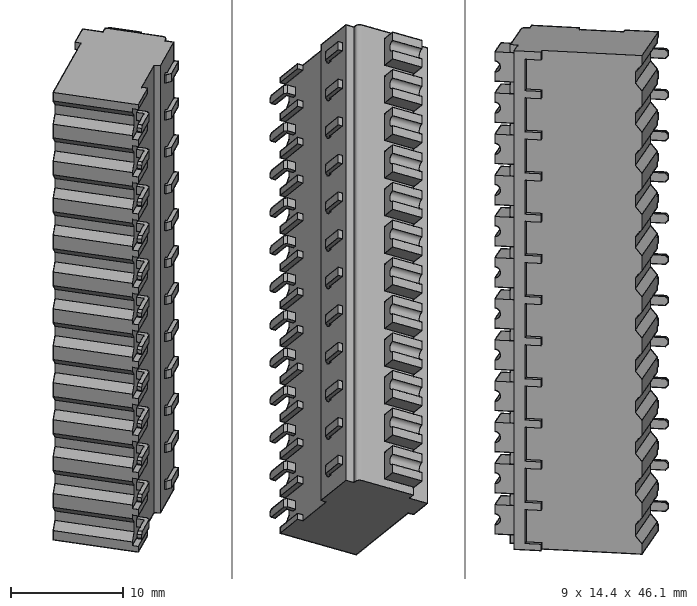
import cadquery as cq


length = 46.1
body_left = 0.55
body_right = 8.45
body_bottom = 0.85
shoulder_y = 12.3
crown_left = 1.9
crown_right = 7.6
crown_top = 13.0
crown_fillet = 0.4

pole_count = 12
first_pole_z = 2.15
last_pole_to_end = 2.07
pitch = (length - first_pole_z - last_pole_to_end) / (pole_count - 1)
pole_heights = [first_pole_z + i * pitch for i in range(pole_count)]

flange_bottom = 11.3
prong_bottom = 9.85
prong_gap = 3.15
end_prong_height = 0.75

recess_floor_x = 7.9
recess_bottom = 3.87
recess_top = 8.0
recess_slope = 0.1
slot_width = 3.15

groove_mouth = 2.4
groove_floor = 0.95
groove_depth = 0.6

block_left = 1.8
block_right = 4.85
block_top = 14.4
block_height = 2.7
block_notch_radius = 0.5

lead_inner_x = 8.58
lead_outer_x = 9.0
lead_thickness = lead_outer_x - lead_inner_x
lead_width = 0.85
lead_embedding = 0.15
lead_root_x = recess_floor_x - lead_embedding
lower_bend_y = 2.65
lower_bend_chamfer = 0.25
upper_bend_y = 9.25
upper_tip_y = 11.9
tip_chamfer = 0.25


def box(x0, x1, y0, y1, z0, z1):
    return cq.Workplane("XY").box(x1 - x0, y1 - y0, z1 - z0, centered=False).translate((x0, y0, z0))


def centred_slab(outline, z_centre, height):
    """Extrude an XY outline to a slab centred on one height."""
    return (
        cq.Workplane("XY", origin=(0, 0, z_centre - height / 2))
        .polyline(outline).close().extrude(height)
    )


def housing():
    core = box(body_left, body_right, body_bottom, shoulder_y, 0, length)
    crown = (
        box(crown_left, crown_right, flange_bottom, crown_top, 0, length)
        .edges(">X and >Y").fillet(crown_fillet)
    )
    flange = box(0, crown_left, prong_bottom, shoulder_y, 0, length)
    return core.union(crown).union(flange)


def lead_recess():
    """Recess along the full length, with a slightly sloped upper wall."""
    outline = [
        (recess_floor_x, recess_bottom),
        (body_right, recess_bottom),
        (body_right, recess_top),
        (recess_floor_x, recess_top - recess_slope),
    ]
    return centred_slab(outline, length / 2, length)


def pole_cuts(z):
    """Groove, lead slot and flange window of one pole."""
    groove = (
        cq.Workplane("YZ")
        .polyline([
            (body_bottom, z - groove_mouth / 2),
            (body_bottom + groove_depth, z - groove_floor / 2),
            (body_bottom + groove_depth, z + groove_floor / 2),
            (body_bottom, z + groove_mouth / 2),
        ])
        .close().extrude(body_right)
    )
    slot = box(recess_floor_x, body_right, body_bottom, recess_bottom, z - slot_width / 2, z + slot_width / 2)
    window_top = min(z + prong_gap / 2, length - end_prong_height)
    window = box(0, body_left, prong_bottom, flange_bottom, z - prong_gap / 2, window_top)
    return groove.union(slot).union(window)


def keying_block(z):
    block = box(block_left, block_right, shoulder_y, block_top, z - block_height / 2, z + block_height / 2)
    notch = cq.Workplane("YZ").center(block_top, z).circle(block_notch_radius).extrude(block_right)
    return block.cut(notch)


def lower_lead(z):
    """Lead leaving the slot and bent down past the lower face."""
    outline = [
        (lead_root_x, lower_bend_y),
        (lead_outer_x - lower_bend_chamfer, lower_bend_y),
        (lead_outer_x, lower_bend_y - lower_bend_chamfer),
        (lead_outer_x, 0),
        (lead_inner_x, 0),
        (lead_inner_x, lower_bend_y - lead_thickness),
        (lead_root_x, lower_bend_y - lead_thickness),
    ]
    lead = centred_slab(outline, z, lead_width)
    return lead.faces("<Y").edges("|X").chamfer(tip_chamfer)


def upper_lead(z):
    """Lead leaving the housing and bent up along its side."""
    outline = [
        (lead_root_x, upper_bend_y),
        (lead_inner_x, upper_bend_y),
        (lead_outer_x, upper_bend_y + lead_thickness),
        (lead_outer_x, upper_tip_y),
        (lead_inner_x, upper_tip_y),
        (lead_inner_x, upper_bend_y + lead_thickness),
        (lead_root_x, upper_bend_y + lead_thickness),
    ]
    return centred_slab(outline, z, lead_width)


result = housing().cut(lead_recess())
for pole_z in pole_heights:
    result = result.cut(pole_cuts(pole_z))
for pole_z in pole_heights:
    result = result.union(keying_block(pole_z))
    result = result.union(lower_lead(pole_z))
    result = result.union(upper_lead(pole_z))